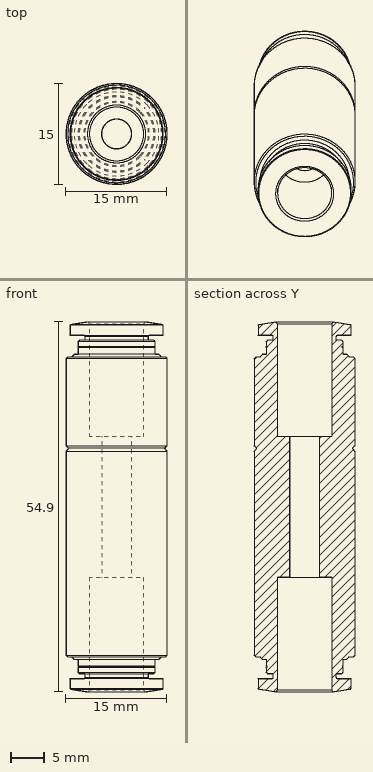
import cadquery as cq

total_length = 54.9
half_length = total_length / 2

body_radius = 15.0 / 2
body_half_length = 22.25
body_chamfer = 0.25
step_base_radius = 6.65
step_top_radius = 6.25
step_height = 0.4

joint_root_z = 8.72
joint_depth = 0.38
joint_upper_flank = 0.33
joint_lower_flank = 0.5

ring_radius = 11.4 / 2
ring_top = 24.75
ring_chamfer = 0.2
ring_groove_z = 23.7
ring_groove_depth = 0.1
ring_groove_width = 0.2

neck_radius = 9.4 / 2
neck_chamfer = 0.15
collar_radius = 13.8 / 2
collar_bottom = 25.45
collar_shoulder = 26.95
collar_chamfer = 0.1
collar_mouth_radius = 4.3

socket_radius = 8.0 / 2
socket_depth = 17.0
mouth_chamfer = collar_mouth_radius - socket_radius
passage_radius = 4.4 / 2


def revolve_profile(points):
    """Turn a closed (radius, height) outline into a solid of revolution about Z."""
    return cq.Workplane("XZ").polyline(points).close().revolve(360, (0, 0, 0), (0, 1, 0))


def v_groove(radius, root_z, depth, upper_flank, lower_flank):
    """Triangular ring that cuts a V-groove into a cylinder of the given radius."""
    return revolve_profile([
        (radius, root_z + upper_flank),
        (radius - depth, root_z),
        (radius, root_z - lower_flank),
    ])


def make_outside():
    """Outside shape of the whole part, the same above and below Z = 0, without grooves or bores."""
    step_top = body_half_length + step_height
    upper_outline = [
        (body_radius, body_half_length - body_chamfer),
        (body_radius - body_chamfer, body_half_length),
        (step_base_radius, body_half_length),
        (step_top_radius, step_top),
        (ring_radius, step_top),
        (ring_radius, ring_top - ring_chamfer),
        (ring_radius - ring_chamfer, ring_top),
        (neck_radius, ring_top),
        (neck_radius, collar_bottom - neck_chamfer),
        (neck_radius + neck_chamfer, collar_bottom),
        (collar_radius, collar_bottom),
        (collar_radius, collar_shoulder),
        (collar_radius - collar_chamfer, collar_shoulder + collar_chamfer),
        (collar_mouth_radius, half_length),
        (0, half_length),
    ]
    lower_outline = [(radius, -height) for radius, height in reversed(upper_outline)]
    return revolve_profile(lower_outline + upper_outline)


def make_ring_groove():
    """Cutter for the fine V-groove around the upper guide ring."""
    flank = ring_groove_width / 2
    return v_groove(ring_radius, ring_groove_z, ring_groove_depth, flank, flank)


def make_socket():
    """Cutter for the upper tube socket, with a chamfered mouth at the end of the collar."""
    socket_floor = half_length - socket_depth
    return revolve_profile([
        (0, socket_floor),
        (socket_radius, socket_floor),
        (socket_radius, half_length - mouth_chamfer),
        (collar_mouth_radius, half_length),
        (0, half_length),
    ])


def make_joint_groove():
    """Cutter for the joint groove around the body, above its middle."""
    return v_groove(body_radius, joint_root_z, joint_depth, joint_upper_flank, joint_lower_flank)


def make_passage():
    """Cutter for the round passage along the whole axis."""
    return cq.Workplane("XY").circle(passage_radius).extrude(half_length, both=True)


result = make_outside()
for end_cutter in (make_ring_groove(), make_socket()):
    result = result.cut(end_cutter).cut(end_cutter.mirror("XY"))
result = result.cut(make_joint_groove()).cut(make_passage())